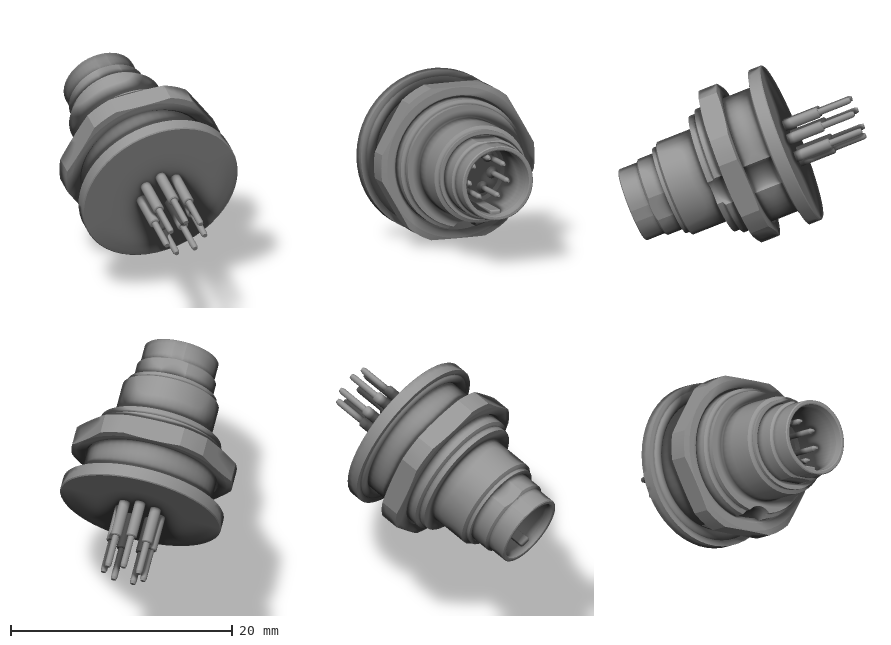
import cadquery as cq
import math

length = 22.1

snout_end = 1.81
collar_chamfer_end = 2.03
step_start = 3.65
collar_end = 3.73
step_end = 3.98
barrel_start = 4.2
thread_neck_start = 7.82
thread_neck_end = 8.38
thread_start = 8.57
flange_front = 14.43
flange_back = 15.62

snout_radius = 3.45
collar_radius = 3.7
collar_seat_radius = 3.71
collar_seat_mouth_radius = 3.8
step_radius = 8.3 / 2
barrel_radius = 9.0 / 2
thread_neck_radius = 11.25 / 2
thread_radius = 12.0 / 2
flange_radius = 15.0 / 2

edge_chamfer = 0.09
barrel_fillet = 0.15
snout_flat_height = 3.4
collar_flat_height = 3.51

seal_section_radius = 0.5
seal_height = 0.27
seal_radius = thread_radius + seal_section_radius
seal_center_x = flange_front - seal_height + seal_section_radius

keyway_radius = 1.52
keyway_center_z = -6.55

nut_front = 9.45
nut_width = 2.0
nut_across_flats = 14.05
nut_face_radius = 6.96
nut_corner_drop = 0.1
nut_hole_radius = 5.65
nut_hole_chamfer = 0.55

mouth_radius = 3.14
lead_in_radius = 6.1 / 2
mouth_depth = 0.05
socket_radius = 2.96
lead_in_end = 0.66
floor_radius = 2.67
floor_x = 5.97
floor_cone_depth = 0.29

key_front = 0.55
key_width = 1.02
key_top_z = -2.59
key_root_z = -3.32
key_front_fillet = 0.18
key_edge_fillet = 0.07

contact_count = 7
contact_pitch = 50.5
contact_circle_radius = 3.73 / 2
contact_tip_x = 2.0
contact_tip_length = 0.4
contact_tip_radius = 0.1
contact_radius = 0.5 / 2
contact_base_radius = 0.55
contact_base_height = 0.33
tail_radius = 1.0 / 2
tail_shoulder = 19.03
tail_pin_radius = 0.6 / 2
tail_tip_chamfer_length = 0.27
tail_tip_radius = 0.22


def revolve_about_x(profile):
    """Revolve a closed (X, radius) profile sketched on the XY plane about the X axis."""
    return profile.close().revolve(360, (0, 0, 0), (1, 0, 0))


def tube_along_x(radius, start, end, z=0):
    return cq.Workplane("YZ", origin=(start, 0, z)).circle(radius).extrude(end - start)


def slab(start, end, half_height):
    """Full-width block with flats at Z = +/- half_height."""
    width = 2 * flange_radius
    return cq.Workplane("XY").box(end - start, width, 2 * half_height).translate(((start + end) / 2, 0, 0))


def make_front_shell():
    snout = revolve_about_x(
        cq.Workplane("XY")
        .moveTo(0, 0)
        .lineTo(0, snout_radius - edge_chamfer)
        .lineTo(edge_chamfer, snout_radius)
        .lineTo(snout_end, snout_radius)
        .lineTo(snout_end, 0)
    )
    collar = revolve_about_x(
        cq.Workplane("XY")
        .moveTo(snout_end, 0)
        .lineTo(snout_end, snout_radius)
        .lineTo(collar_chamfer_end, collar_radius)
        .lineTo(collar_end, collar_radius)
        .lineTo(collar_end, 0)
    )
    snout = snout.intersect(slab(0, snout_end, snout_flat_height))
    collar = collar.intersect(slab(snout_end, collar_end, collar_flat_height))
    return snout.union(collar)


def make_rear_shell():
    arc_inset = barrel_fillet * (1 - math.sqrt(0.5))
    shell = revolve_about_x(
        cq.Workplane("XY")
        .moveTo(collar_end, 0)
        .lineTo(collar_end, collar_seat_radius)
        .lineTo(step_start, collar_seat_mouth_radius)
        .lineTo(step_start, step_radius)
        .lineTo(step_end, step_radius)
        .lineTo(barrel_start, barrel_radius)
        .lineTo(thread_neck_start - barrel_fillet, barrel_radius)
        .threePointArc(
            (thread_neck_start - arc_inset, barrel_radius + arc_inset),
            (thread_neck_start, barrel_radius + barrel_fillet),
        )
        .lineTo(thread_neck_start, thread_neck_radius)
        .lineTo(thread_neck_end, thread_neck_radius)
        .lineTo(thread_start, thread_radius)
        .lineTo(seal_center_x, thread_radius)
        .lineTo(seal_center_x, seal_radius)
        .lineTo(flange_front, seal_radius)
        .lineTo(flange_front, flange_radius)
        .lineTo(flange_back - edge_chamfer, flange_radius)
        .lineTo(flange_back, flange_radius - edge_chamfer)
        .lineTo(flange_back, 0)
    )
    keyway = tube_along_x(keyway_radius, thread_neck_start, flange_front, keyway_center_z)
    return shell.cut(keyway)


def make_seal():
    return (
        cq.Workplane("XY")
        .center(seal_center_x, seal_radius)
        .circle(seal_section_radius)
        .revolve(360, (0, -seal_radius, 0), (1, -seal_radius, 0))
    )


def make_nut():
    nut_back = nut_front + nut_width
    corner_diameter = nut_across_flats / math.cos(math.pi / 6)
    hexagon = (
        cq.Workplane("YZ", origin=(nut_front, 0, 0))
        .polygon(6, corner_diameter)
        .extrude(nut_width)
    )
    turned_ring = revolve_about_x(
        cq.Workplane("XY")
        .moveTo(nut_front, nut_hole_radius + nut_hole_chamfer)
        .lineTo(nut_front, nut_face_radius)
        .lineTo(nut_front + nut_corner_drop, flange_radius)
        .lineTo(nut_back - nut_corner_drop, flange_radius)
        .lineTo(nut_back, nut_face_radius)
        .lineTo(nut_back, nut_hole_radius + nut_hole_chamfer)
        .lineTo(nut_back - nut_hole_chamfer, nut_hole_radius)
        .lineTo(nut_front + nut_hole_chamfer, nut_hole_radius)
    )
    return hexagon.intersect(turned_ring)


def make_socket():
    return revolve_about_x(
        cq.Workplane("XY")
        .moveTo(0, 0)
        .lineTo(0, mouth_radius)
        .lineTo(mouth_depth, lead_in_radius)
        .lineTo(lead_in_end, socket_radius)
        .lineTo(floor_x - floor_cone_depth, socket_radius)
        .lineTo(floor_x, floor_radius)
        .lineTo(floor_x, 0)
    )


def make_key():
    height = key_top_z - key_root_z
    return (
        cq.Workplane("YZ", origin=(key_front, 0, (key_top_z + key_root_z) / 2))
        .rect(key_width, height)
        .extrude(floor_x - key_front)
        .edges("|X and >Z")
        .fillet(key_edge_fillet)
        .faces("<X")
        .edges()
        .fillet(key_front_fillet)
    )


def make_contact():
    """One contact on the X axis: mating pin, base cone, solder tail."""
    return revolve_about_x(
        cq.Workplane("XY")
        .moveTo(contact_tip_x, 0)
        .lineTo(contact_tip_x, contact_tip_radius)
        .lineTo(contact_tip_x + contact_tip_length, contact_radius)
        .lineTo(floor_x - contact_base_height, contact_radius)
        .lineTo(floor_x, contact_base_radius)
        .lineTo(flange_front, contact_base_radius)
        .lineTo(flange_front, tail_radius)
        .lineTo(tail_shoulder - edge_chamfer, tail_radius)
        .lineTo(tail_shoulder, tail_radius - edge_chamfer)
        .lineTo(tail_shoulder, tail_pin_radius)
        .lineTo(length - tail_tip_chamfer_length, tail_pin_radius)
        .lineTo(length, tail_tip_radius)
        .lineTo(length, 0)
    )


result = make_front_shell().union(make_rear_shell()).cut(make_socket())
result = result.union(make_key()).union(make_seal()).union(make_nut())

contact = make_contact()
for index in range(contact_count):
    angle = math.radians((index - contact_count // 2) * contact_pitch)
    offset = (0, contact_circle_radius * math.sin(angle), contact_circle_radius * math.cos(angle))
    result = result.union(contact.translate(offset))